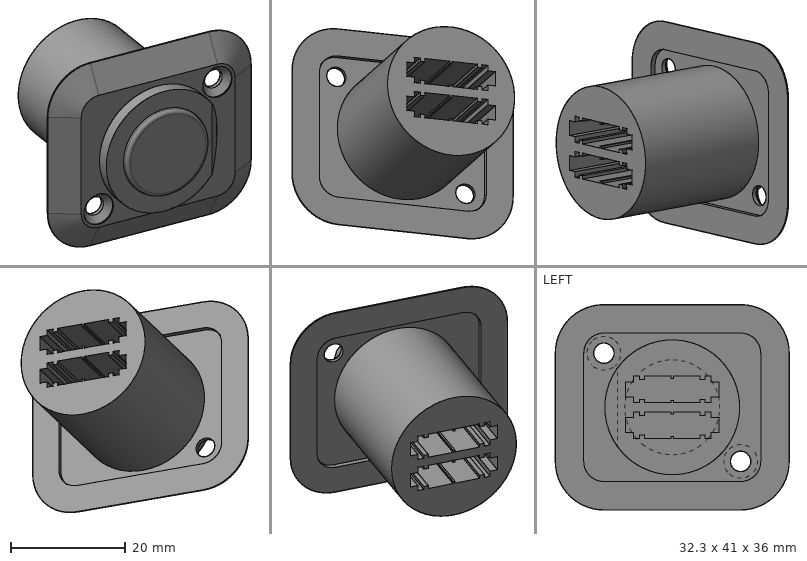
import cadquery as cq
import math

flange_rear = 25.5
rim_front = 25.75
flange_front = 28.75
collar_front = 31.1
nose_front = 32.3

flange_width = 41.0
flange_height = 36.0
flange_corner_radius = 8.53
bevel_inset = 5.0
recess_depth = 1.0

barrel_diameter = 23.6
nose_diameter = 16.65
nose_edge_radius = 0.7

collar_bevel = 2.25

screw_hole_diameter = 3.53
screw_land = 0.8
countersink_half_angle = 45.0
countersink_mouth = 0.25

slot_pitch = 6.27
slot_depth = flange_rear
slot_width = 13.65
slot_height = 4.65
slot_wing_width = 16.4
slot_wing_height = 2.62
key_width = 0.85
key_depth = 0.57
key_offset = 5.3
rib_width = 0.35
rib_depth = 0.35

plate_width = flange_width - 2 * bevel_inset
plate_height = flange_height - 2 * bevel_inset
plate_corner_radius = flange_corner_radius - bevel_inset
barrel_radius = barrel_diameter / 2


def section(x):
    """Workplane across the axis at x, with local axes along Y and Z."""
    return cq.Workplane("YZ", origin=(x, 0, 0))


def rounded_plate(x, width, height, corner_radius, thickness):
    plate = section(x).rect(width, height).extrude(thickness)
    return plate.edges("|X").fillet(corner_radius)


def disc(x_start, x_end, diameter):
    return section(x_start).circle(diameter / 2).extrude(x_end - x_start)


def flange():
    plate = rounded_plate(
        flange_rear, flange_width, flange_height, flange_corner_radius, flange_front - flange_rear
    )
    plate = plate.faces(">X").edges().chamfer(flange_front - rim_front, bevel_inset)
    recess = rounded_plate(flange_rear, plate_width, plate_height, plate_corner_radius, recess_depth)
    return plate.cut(recess)


def collar():
    body = disc(flange_front, collar_front, barrel_diameter)
    bevel = (
        cq.Workplane("XY", origin=(0, 0, -barrel_radius))
        .moveTo(collar_front - collar_bevel, barrel_radius)
        .lineTo(collar_front, barrel_radius)
        .lineTo(collar_front, barrel_radius - collar_bevel)
        .close()
        .extrude(barrel_diameter)
    )
    return body.cut(bevel)


def nose():
    return disc(collar_front, nose_front, nose_diameter).faces(">X").edges().fillet(nose_edge_radius)


def screw_hole(y, z):
    """Clearance hole that opens into a countersink with a short straight mouth in the flange front."""
    radius = screw_hole_diameter / 2
    sink_start = flange_rear + recess_depth + screw_land
    sink_end = flange_front - countersink_mouth
    sink_radius = radius + (sink_end - sink_start) * math.tan(math.radians(countersink_half_angle))
    profile = (
        cq.Workplane("XY")
        .moveTo(flange_rear, 0)
        .lineTo(flange_rear, radius)
        .lineTo(sink_start, radius)
        .lineTo(sink_end, sink_radius)
        .lineTo(flange_front, sink_radius)
        .lineTo(flange_front, 0)
        .close()
    )
    return profile.revolve(360, (0, 0, 0), (1, 0, 0)).translate((0, y, z))


def slot(z):
    """Cross-shaped slot with keys and a thin centre rib on its upper and lower walls."""
    body = section(0).rect(slot_width, slot_height).extrude(slot_depth)
    body = body.union(section(0).rect(slot_wing_width, slot_wing_height).extrude(slot_depth))
    for side in (-1, 1):
        key_z = side * (slot_height - key_depth) / 2
        rib_z = side * (slot_height - rib_depth) / 2
        keys = section(0).pushPoints([(-key_offset, key_z), (key_offset, key_z)])
        body = body.cut(keys.rect(key_width, key_depth).extrude(slot_depth))
        body = body.cut(section(0).center(0, rib_z).rect(rib_width, rib_depth).extrude(slot_depth))
    return body.translate((0, 0, z))


barrel = disc(0, flange_front, barrel_diameter)
result = flange().union(barrel).union(collar()).union(nose())

hole_y = flange_width / 2 - flange_corner_radius
hole_z = flange_height / 2 - flange_corner_radius
for side in (-1, 1):
    result = result.cut(screw_hole(side * hole_y, side * hole_z))
    result = result.cut(slot(side * slot_pitch / 2))